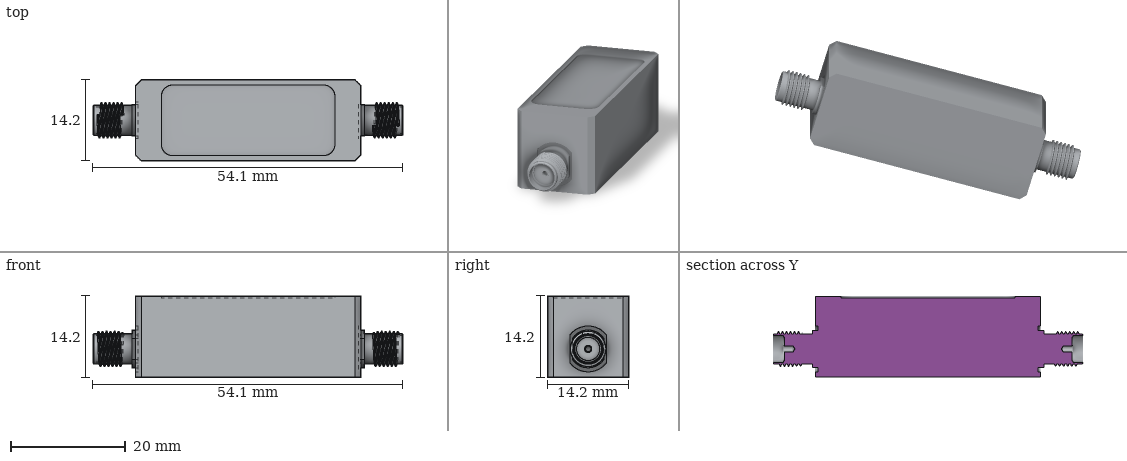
import cadquery as cq
import math

overall_length = 54.15
body_length = 39.4
body_width = 14.2
body_height = 14.2
corner_chamfer = 1.05

label_length = 30.35
label_width = 12.35
label_radius = 2.0
label_depth = 0.25

connector_height = 5.0
pocket_diameter = 8.0
pocket_flats = 6.4
pocket_depth = 0.45

flange_diameter = 6.6
flange_flats = 5.45
flange_projection = 0.6
tube_diameter = 5.3
tip_chamfer = 0.15
thread_diameter = 6.2
thread_pitch = 0.7
thread_turns = 6.0
thread_tip_gap = 0.6
thread_root_width = 0.6
thread_crest_width = 0.1
thread_embed = 0.1
thread_start_angle = 200.0

mouth_diameter = 4.65
mouth_depth = 1.75
insulator_diameter = 4.05
insulator_depth = 1.95
contact_diameter = 1.25
contact_projection = 0.1
contact_hole_diameter = 1.0
contact_hole_depth = 1.6
contact_cone_angle = 118.0

body_end = body_length / 2
tip = overall_length / 2


def axial_cylinder(diameter, start, end):
    """Cylinder on the X axis between two X positions."""
    return cq.Workplane("YZ", origin=(start, 0, 0)).circle(diameter / 2).extrude(end - start)


def flatted_disc(diameter, flats, start, end):
    """Disc on the X axis with two flats facing +Y and -Y."""
    length = end - start
    slab = cq.Workplane("YZ", origin=(start, 0, 0)).rect(flats, diameter).extrude(length)
    return axial_cylinder(diameter, start, end).intersect(slab)


def thread():
    """Right-handed helical ridge around the tube, ending short of the tip."""
    height = thread_pitch * thread_turns
    helix_radius = tube_diameter / 2
    path = cq.Wire.makeHelix(thread_pitch, height, helix_radius)
    root = helix_radius - thread_embed
    crest = thread_diameter / 2
    ridge = (
        cq.Workplane("XZ")
        .moveTo(root, -thread_root_width / 2)
        .lineTo(crest, -thread_crest_width / 2)
        .lineTo(crest, thread_crest_width / 2)
        .lineTo(root, thread_root_width / 2)
        .close()
        .sweep(cq.Workplane(obj=path), isFrenet=True)
    )
    start = tip - thread_tip_gap - thread_root_width / 2 - height
    return (
        ridge.rotate((0, 0, 0), (0, 0, 1), thread_start_angle)
        .rotate((0, 0, 0), (0, 1, 0), 90)
        .translate((start, 0, 0))
    )


def connector():
    """Connector on the X axis, pointing along +X."""
    pocket_floor = body_end - pocket_depth
    flange = flatted_disc(flange_diameter, flange_flats, pocket_floor, body_end + flange_projection)
    tube = axial_cylinder(tube_diameter, pocket_floor, tip).faces(">X").chamfer(tip_chamfer)
    insulator_face = tip - insulator_depth
    contact_face = insulator_face + contact_projection
    contact = axial_cylinder(contact_diameter, insulator_face, contact_face)
    hole_end = contact_face - contact_hole_depth
    hole_radius = contact_hole_diameter / 2
    cone_length = hole_radius / math.tan(math.radians(contact_cone_angle / 2))
    contact_hole = (
        cq.Workplane("XZ")
        .moveTo(contact_face, 0)
        .lineTo(contact_face, hole_radius)
        .lineTo(hole_end, hole_radius)
        .lineTo(hole_end - cone_length, 0)
        .close()
        .revolve(360, (0, 0, 0), (1, 0, 0))
    )
    return (
        flange.union(tube)
        .union(thread())
        .cut(axial_cylinder(mouth_diameter, tip - mouth_depth, tip))
        .cut(axial_cylinder(insulator_diameter, insulator_face, tip))
        .union(contact)
        .cut(contact_hole)
    )


def at_both_ends(shape):
    """Raise a shape to the connector axis and repeat it half a turn around Z."""
    raised = shape.translate((0, 0, connector_height))
    return [raised, raised.rotate((0, 0, 0), (0, 0, 1), 180)]


body = (
    cq.Workplane("XY")
    .rect(body_length, body_width)
    .extrude(body_height)
    .edges("|Z")
    .chamfer(corner_chamfer)
)

label_recess = (
    cq.Workplane("XY", origin=(0, 0, body_height - label_depth))
    .rect(label_length, label_width)
    .extrude(label_depth)
    .edges("|Z")
    .fillet(label_radius)
)
body = body.cut(label_recess)

for pocket in at_both_ends(flatted_disc(pocket_diameter, pocket_flats, body_end - pocket_depth, body_end)):
    body = body.cut(pocket)

for end_connector in at_both_ends(connector()):
    body = body.union(end_connector)

result = body